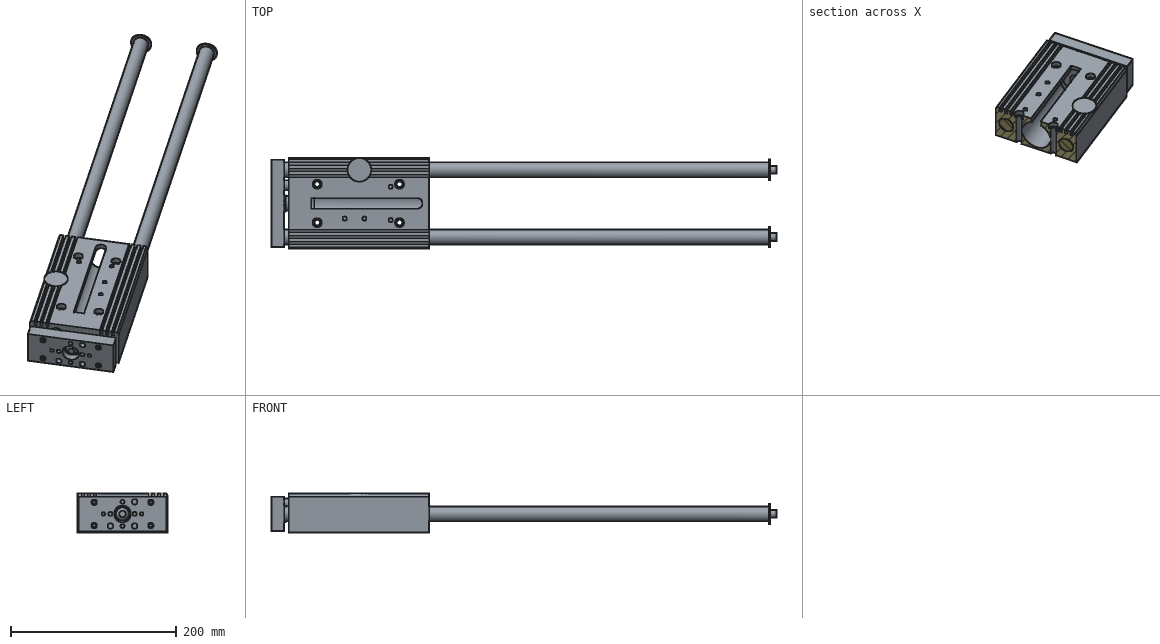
import cadquery as cq


TOTAL_LENGTH = 611.5
PLATE_THICKNESS = 15.0
GAP = 5.5
HOUSING_LENGTH = 170.0
HOUSING_WIDTH = 110
HOUSING_FRONT = PLATE_THICKNESS + GAP
HOUSING_BACK = HOUSING_FRONT + HOUSING_LENGTH
HOUSING_BOTTOM = -22.5
DISC_PROUD = 0.3
OVERALL_HEIGHT = 48.0
HOUSING_HEIGHT = OVERALL_HEIGHT - DISC_PROUD
HOUSING_TOP = HOUSING_BOTTOM + HOUSING_HEIGHT

ROD_SPACING = 81.5
ROD_OFFSET = ROD_SPACING / 2
ROD_DIAMETER = 18.5
FLANGE_DIAMETER = 25.0
FLANGE_THICKNESS = 2.0
STUB_DIAMETER = 10.0
STUB_LENGTH = 7.5
FLANGE_START = TOTAL_LENGTH - STUB_LENGTH - FLANGE_THICKNESS
PISTON_ROD_DIAMETER = 18.5
COLLAR_DIAMETER = 20.0
COLLAR_LENGTH = 2.0

BORE_START = 46.0
BORE_DIAMETER = 38.0
FRONT_RECESS_DIAMETER = 39.0
FRONT_RECESS_END = 52.0

EDGE_CHAMFER_WIDTH = 2.0
EDGE_CHAMFER_HEIGHT = 4.0
GROOVE_WIDTH = 3.0
GROOVE_DEPTH = 5.5
GROOVE_PITCH = 7.5
DISC_DIAMETER = 2 * (HOUSING_WIDTH / 2 - ROD_OFFSET)
DISC_X = 106.5

SLOT_START = 48.5
SLOT_END = 183.0
SLOT_WIDTH = 13.0
MOUNT_HOLE_DIAMETER = 7.0
MOUNT_BORE_DIAMETER = 11.0
MOUNT_BORE_DEPTH = 7.0
MOUNT_SPACING = 99.5
MOUNT_CENTRE_X = 105.0
MOUNT_Y = 23.0
PIN_HOLE_DIAMETER = 5.0
PIN_HOLE_DEPTH = 7.5
PIN_HOLE_POINTS = [(88.5, -18.5), (112.5, -18.5), (144.5, -20.0), (144.5, 20.0)]

PLATE_WIDTH = 106.0
PLATE_HEIGHT = 41.5
BUMPER_DIAMETER = 12
BUMPER_Y = 22.0
BUMPER_Z = 13.0
CENTRE_BORE_DIAMETER = 20.0
CENTRE_BORE_DEPTH = 9.0
STUD_DIAMETER = 16.0
STUD_TIP_DIAMETER = 8.0
STUD_LENGTH = 5.5
STUD_CHAMFER = (STUD_DIAMETER - STUD_TIP_DIAMETER) / 2
CORNER_RECESS_DIAMETER = 7.0
CORNER_RECESS_DEPTH = 0.5
CORNER_SOCKET_DIAMETER = 4.15
CORNER_SOCKET_DEPTH = 3.0
CORNER_Y = 34.0
CORNER_Z = 14.0
GRID = 14.5
GRID_HOLE_DIAMETER = 5.0
GRID_THREAD_DIAMETER = 7.0
DOWEL_HOLE_DIAMETER = 4.15
DOWEL_Y = 23.0


def bar_x(diameter, start, end, y=0, z=0):
    """Cylinder along X between two X positions, used as a bar or as a cutter."""
    plane = cq.Workplane("YZ", origin=(start, y, z))
    return plane.circle(diameter / 2).extrude(end - start)


def hole_down(diameter, depth, x, y):
    """Vertical cutter that reaches the given depth below the housing's top face."""
    plane = cq.Workplane("XY", origin=(x, y, HOUSING_TOP))
    return plane.circle(diameter / 2).extrude(-depth)


def housing_block():
    half = HOUSING_WIDTH / 2
    shoulder = HOUSING_TOP - EDGE_CHAMFER_HEIGHT
    outline = [
        (-half, HOUSING_BOTTOM),
        (half, HOUSING_BOTTOM),
        (half, shoulder),
        (half - EDGE_CHAMFER_WIDTH, HOUSING_TOP),
        (EDGE_CHAMFER_WIDTH - half, HOUSING_TOP),
        (-half, shoulder),
    ]
    plane = cq.Workplane("YZ", origin=(HOUSING_FRONT, 0, 0))
    return plane.polyline(outline).close().extrude(HOUSING_LENGTH)


def sensor_grooves():
    """Three grooves above each guide rod, along the whole housing."""
    middle_x = (HOUSING_FRONT + HOUSING_BACK) / 2
    centres = [
        (middle_x, side * (ROD_OFFSET + step * GROOVE_PITCH))
        for side in (-1, 1)
        for step in (-1, 0, 1)
    ]
    top = cq.Workplane("XY", origin=(0, 0, HOUSING_TOP))
    return top.pushPoints(centres).rect(HOUSING_LENGTH, GROOVE_WIDTH).extrude(-GROOVE_DEPTH)


def groove_disc():
    """Round pad across the +Y grooves, slightly proud of the top face."""
    plane = cq.Workplane("XY", origin=(DISC_X, ROD_OFFSET, HOUSING_TOP - GROOVE_DEPTH))
    return plane.circle(DISC_DIAMETER / 2).extrude(GROOVE_DEPTH + DISC_PROUD)


def top_slot():
    """Slot from the top face into the cylinder bore, square at the front and round at the back."""
    half = SLOT_WIDTH / 2
    round_start = SLOT_END - half
    outline = cq.Workplane("XY").moveTo(SLOT_START, -half).lineTo(round_start, -half)
    outline = outline.threePointArc((SLOT_END, 0), (round_start, half)).lineTo(SLOT_START, half)
    return outline.close().extrude(HOUSING_TOP)


def make_housing():
    housing = housing_block().cut(sensor_grooves()).union(groove_disc())
    for side in (-1, 1):
        housing = housing.cut(bar_x(ROD_DIAMETER, HOUSING_FRONT, HOUSING_BACK, side * ROD_OFFSET))
    housing = housing.cut(bar_x(PISTON_ROD_DIAMETER, HOUSING_FRONT, BORE_START))
    housing = housing.cut(bar_x(FRONT_RECESS_DIAMETER, BORE_START, FRONT_RECESS_END))
    housing = housing.cut(bar_x(BORE_DIAMETER, BORE_START, HOUSING_BACK))
    housing = housing.cut(top_slot())
    for side in (-1, 1):
        x = MOUNT_CENTRE_X + side * MOUNT_SPACING / 2
        for y in (-MOUNT_Y, MOUNT_Y):
            housing = housing.cut(hole_down(MOUNT_HOLE_DIAMETER, HOUSING_HEIGHT, x, y))
            housing = housing.cut(hole_down(MOUNT_BORE_DIAMETER, MOUNT_BORE_DEPTH, x, y))
    for x, y in PIN_HOLE_POINTS:
        housing = housing.cut(hole_down(PIN_HOLE_DIAMETER, PIN_HOLE_DEPTH, x, y))
    return housing


def yoke_plate():
    """Plate with sunk corner screws and a grid of fixing holes around its centre bore."""
    face = cq.Workplane("YZ")
    plate = face.rect(PLATE_WIDTH, PLATE_HEIGHT).extrude(PLATE_THICKNESS)
    for y in (-CORNER_Y, CORNER_Y):
        for z in (-CORNER_Z, CORNER_Z):
            plate = plate.cut(bar_x(CORNER_RECESS_DIAMETER, 0, CORNER_RECESS_DEPTH, y, z))
            plate = plate.cut(bar_x(CORNER_SOCKET_DIAMETER, 0, CORNER_SOCKET_DEPTH, y, z))
    through_holes = [
        (GRID_HOLE_DIAMETER, [(-GRID, 0), (GRID, 0), (0, -GRID), (0, GRID)]),
        (GRID_THREAD_DIAMETER, [(-GRID, -GRID), (GRID, -GRID), (-GRID, GRID)]),
        (DOWEL_HOLE_DIAMETER, [(-DOWEL_Y, 0), (DOWEL_Y, 0)]),
    ]
    for diameter, points in through_holes:
        for y, z in points:
            plate = plate.cut(bar_x(diameter, 0, PLATE_THICKNESS, y, z))
    return plate.cut(bar_x(CENTRE_BORE_DIAMETER, 0, CENTRE_BORE_DEPTH))


def centre_stud():
    """Chamfered end of the piston rod, standing in the plate's centre bore."""
    stud = bar_x(STUD_DIAMETER, CENTRE_BORE_DEPTH - STUD_LENGTH, PLATE_THICKNESS)
    return stud.faces("<X").chamfer(STUD_CHAMFER)


def guide_rod(side):
    y = side * ROD_OFFSET
    rod = bar_x(ROD_DIAMETER, PLATE_THICKNESS, FLANGE_START, y)
    flange = bar_x(FLANGE_DIAMETER, FLANGE_START, FLANGE_START + FLANGE_THICKNESS, y)
    stub = bar_x(STUB_DIAMETER, FLANGE_START + FLANGE_THICKNESS, TOTAL_LENGTH, y)
    return rod.union(flange).union(stub)


def make_yoke():
    yoke = yoke_plate().union(centre_stud())
    yoke = yoke.union(bar_x(PISTON_ROD_DIAMETER, PLATE_THICKNESS, BORE_START))
    yoke = yoke.union(bar_x(COLLAR_DIAMETER, PLATE_THICKNESS, PLATE_THICKNESS + COLLAR_LENGTH))
    yoke = yoke.union(bar_x(BUMPER_DIAMETER, PLATE_THICKNESS, HOUSING_FRONT, BUMPER_Y, BUMPER_Z))
    for side in (-1, 1):
        yoke = yoke.union(guide_rod(side))
    return yoke


housing = make_housing()
yoke = make_yoke()
result = cq.Compound.makeCompound([housing.val(), yoke.val()])